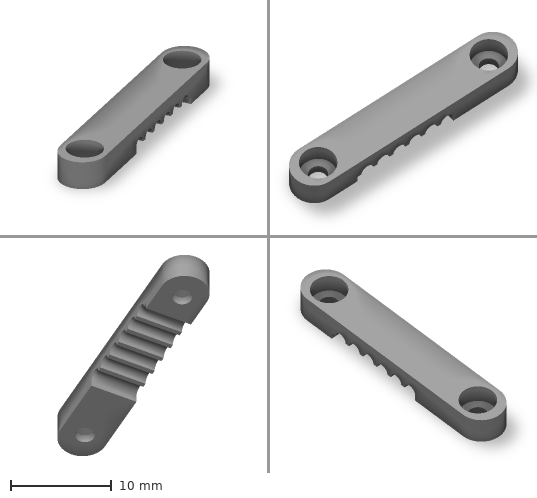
import cadquery as cq

length = 27.4
width = 5.0
height = 3.0

hole_spacing = 21.4
hole_diameter = 2.0
counterbore_diameter = 3.8
counterbore_depth = 2.0

channel_y_min = -4.3
channel_length = 12.0
channel_depth = 0.75

groove_count = 6
groove_pitch = 2.0
groove_diameter = 1.5
groove_axis_z = channel_depth

channel_center_y = channel_y_min + channel_length / 2


def make_bar():
    return cq.Workplane("XY").slot2D(length, width, 90).extrude(height)


def make_channel():
    return (
        cq.Workplane("XY")
        .center(0, channel_center_y)
        .rect(width, channel_length)
        .extrude(channel_depth)
    )


def make_grooves():
    first_y = channel_y_min + groove_diameter / 2
    centers = [(first_y + i * groove_pitch, groove_axis_z) for i in range(groove_count)]
    return (
        cq.Workplane("YZ")
        .pushPoints(centers)
        .circle(groove_diameter / 2)
        .extrude(width / 2, both=True)
    )


def drill_screw_holes(body):
    return (
        body.faces(">Z")
        .workplane(origin=(0, 0, height))
        .pushPoints([(0, -hole_spacing / 2), (0, hole_spacing / 2)])
        .cboreHole(hole_diameter, counterbore_diameter, counterbore_depth)
    )


bar = drill_screw_holes(make_bar())
result = bar.cut(make_channel()).cut(make_grooves())